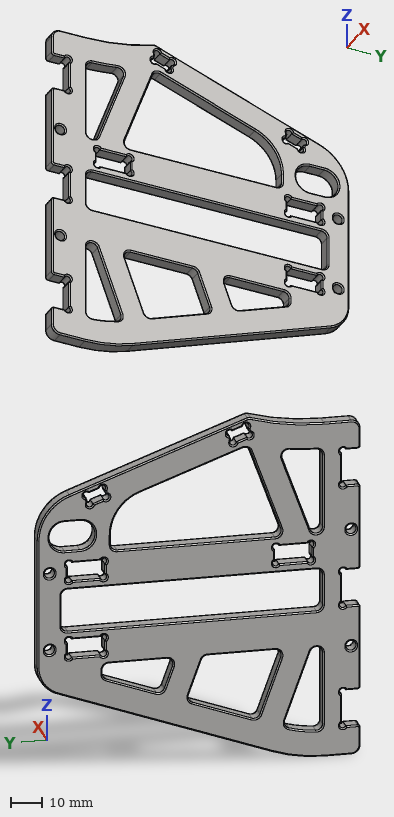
import cadquery as cq
import math

thickness = 5.0
depth = 106.0
half_height = 56.9
edge_chamfer = 0.5
window_radius = 2.1

slope_angle = math.radians(20)
slope = math.tan(slope_angle)
slope_y = 52.0
top_edge_z = 55.2
bottom_edge_z = -45.5
front_corner_radius = 3.0
back_top_radius = 15.9
back_bottom_radius = 10.0
bottom_bend_radius = 50.0
top_bend_start = 12.0
apex_radius = 1.6
apex_y = 36.6

rim_width = 8.9
window_front = 12.4
window_inner_z = 19.2
middle_back = 98.2
middle_half_height = 7.2
top_window_back = 82.0
top_window_back_radius = 14.6
bottom_window_back = 84.7
strut_front_y = 15.9
strut_back_y = 25.0
rear_strut_front_y = 51.6
rear_strut_back_y = 60.6

hole_diameter = 3.3
back_hole_y = 102.0
back_hole_z = 13.0
front_hole_y = 3.0
front_hole_z = 19.9
oval_y = 94.6
oval_z = 25.3
oval_length = 15.0
oval_height = 10.0

tab_length = 12.2
tab_slot_height = 6.2
back_slot_y = 90.0
front_slot_y = 22.0
notch_depth = 6.1
notch_pitch = 41.0
notch_mouth_radius = 1.0
relief_radius = 1.0
relief_inset = 0.41
small_slot_length = 6.5
small_slot_height = 4.1
small_slot_inset = 4.1
small_slot_ys = (39.6, 86.7)


def top_edge(y):
    return top_edge_z - slope * (y - slope_y)


def bottom_edge(y):
    return bottom_edge_z + slope * (y - slope_y)


def prism(profile):
    return profile.extrude(thickness / 2, both=True)


def sketch():
    return cq.Workplane("YZ")


def round_corner(body, y, z, radius):
    corner = cq.selectors.NearestToPointSelector((0, y, z))
    return body.edges("|X").edges(corner).fillet(radius)


def plate():
    bend_corner_y = slope_y - (bottom_edge_z + half_height) / slope
    apex_z = top_edge(apex_y)
    profile = sketch().moveTo(0, -half_height).lineTo(0, half_height)
    profile = profile.lineTo(top_bend_start, half_height)
    profile = profile.tangentArcPoint((apex_y, apex_z), relative=False)
    profile = profile.lineTo(depth, top_edge(depth))
    profile = profile.lineTo(depth, bottom_edge(depth))
    profile = profile.lineTo(bend_corner_y, -half_height).close()
    body = prism(profile)
    for y, z, radius in (
        (0, half_height, front_corner_radius),
        (0, -half_height, front_corner_radius),
        (apex_y, apex_z, apex_radius),
        (depth, top_edge(depth), back_top_radius),
        (depth, bottom_edge(depth), back_bottom_radius),
        (bend_corner_y, -half_height, bottom_bend_radius),
    ):
        body = round_corner(body, y, z, radius)
    return body


def inset_plate():
    """Plate outline moved inward by the rim width."""
    outline = plate().faces("<X").wires().toPending()
    return outline.offset2D(-rim_width).extrude(thickness, combine=False)


def strut_side(strut_y):
    """Line of a strut side, from below the inner window edge to past the plate edge."""
    def point_at(z):
        return (strut_y + slope * (z - window_inner_z), z)
    return point_at


def window(points, side):
    """Polygon limited by the inset outline; side is 1 for top and -1 for bottom."""
    polygon = sketch().polyline([(y, side * z) for y, z in points]).close()
    return prism(polygon).intersect(inset)


def front_window(side):
    strut = strut_side(strut_front_y)
    tip_z = window_inner_z - (strut_front_y - window_front) / slope
    points = [(window_front, tip_z), strut(half_height), (window_front, half_height)]
    return window(points, side).edges("|X").fillet(window_radius)


def top_window():
    rim_drop = rim_width / math.cos(slope_angle)
    top_at_zero = top_edge(0) - rim_drop
    top_corner_y = (strut_back_y + slope * (top_at_zero - window_inner_z)) / (1 + slope**2)
    corners = (
        (strut_back_y, window_inner_z, window_radius),
        (top_corner_y, top_edge(top_corner_y) - rim_drop, window_radius),
        (top_window_back, top_edge(top_window_back) - rim_drop, top_window_back_radius),
        (top_window_back, window_inner_z, window_radius),
    )
    body = prism(sketch().polyline([(y, z) for y, z, _ in corners]).close())
    for corner in corners:
        body = round_corner(body, *corner)
    return body


def bottom_middle_window():
    front = strut_side(strut_back_y)
    back = strut_side(rear_strut_front_y)
    points = [front(window_inner_z), front(half_height), back(half_height), back(window_inner_z)]
    return window(points, -1).edges("|X").fillet(window_radius)


def bottom_back_window():
    front = strut_side(rear_strut_back_y)
    points = [
        front(window_inner_z),
        front(half_height),
        (bottom_window_back, half_height),
        (bottom_window_back, window_inner_z),
    ]
    return window(points, -1).edges("|X").fillet(window_radius)


def middle_window():
    length = middle_back - window_front
    profile = sketch().center((middle_back + window_front) / 2, 0)
    body = prism(profile.rect(length, 2 * middle_half_height))
    return body.edges("|X").fillet(window_radius)


def round_holes():
    centres = [(back_hole_y, side * back_hole_z) for side in (1, -1)]
    centres += [(front_hole_y, side * front_hole_z) for side in (1, -1)]
    return prism(sketch().pushPoints(centres).circle(hole_diameter / 2))


def oval_slot():
    return prism(sketch().center(oval_y, oval_z).slot2D(oval_length, oval_height))


def relieved_slot(length, height):
    """Rectangular cutter centred at the origin with a round relief at each corner."""
    relief_span = (length - 2 * relief_inset, height - 2 * relief_inset)
    corners = sketch().rect(*relief_span, forConstruction=True).vertices()
    return prism(sketch().rect(length, height)).union(prism(corners.circle(relief_radius)))


def tab_slots():
    slot = relieved_slot(tab_length, tab_slot_height)
    centres = (
        (back_slot_y, back_hole_z),
        (back_slot_y, -back_hole_z),
        (front_slot_y, back_hole_z),
    )
    return [slot.translate((0, y, z)) for y, z in centres]


def small_slots():
    slot = relieved_slot(small_slot_length, small_slot_height)
    slot = slot.rotate((0, 0, 0), (1, 0, 0), -math.degrees(slope_angle))
    drop = small_slot_inset / math.cos(slope_angle)
    return [slot.translate((0, y, top_edge(y) - drop)) for y in small_slot_ys]


def notches():
    notch = relieved_slot(2 * notch_depth, tab_length)
    return [notch.translate((0, 0, step * notch_pitch)) for step in (-1, 0, 1)]


def round_notch_mouths(body):
    for step in (-1, 0, 1):
        for side in (-1, 1):
            z = step * notch_pitch + side * tab_length / 2
            body = round_corner(body, 0, z, notch_mouth_radius)
    return body


inset = inset_plate()
cutters = [
    front_window(1),
    front_window(-1),
    top_window(),
    middle_window(),
    bottom_middle_window(),
    bottom_back_window(),
    round_holes(),
    oval_slot(),
    *tab_slots(),
    *small_slots(),
    *notches(),
]
result = plate()
for cutter in cutters:
    result = result.cut(cutter)
result = round_notch_mouths(result)
result = result.faces("<X or >X").edges().chamfer(edge_chamfer)